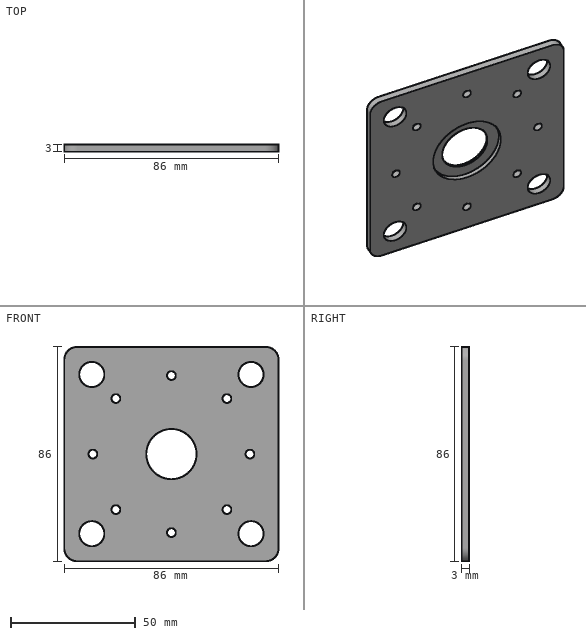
import cadquery as cq

side = 86.0
thickness = 3.0
corner_radius = 5.25

center_hole_diameter = 20.0
center_lip_thickness = 1.0
recess_diameter = 30.0
corner_hole_diameter = 10.0
corner_hole_spacing = 63.8
bolt_hole_diameter = 3.4
bolt_circle_radius = 31.5
bolt_count = 8


def make_plate():
    """Plate centred on the origin, with rounded corners."""
    plate = cq.Workplane("XY").box(side, thickness, side)
    return plate.edges("|Y").fillet(corner_radius)


def cut_center_hole(plate):
    """Central hole, recessed from the +Y face so that a thin lip remains at the -Y face."""
    face = plate.faces(">Y").workplane(origin=(0, 0, 0))
    recess_depth = thickness - center_lip_thickness
    return face.cboreHole(center_hole_diameter, recess_diameter, recess_depth)


def cut_corner_holes(plate):
    face = plate.faces("<Y").workplane(origin=(0, 0, 0))
    return face.rarray(corner_hole_spacing, corner_hole_spacing, 2, 2).hole(corner_hole_diameter)


def cut_bolt_circle(plate):
    """Small holes evenly spaced around the central hole."""
    face = plate.faces("<Y").workplane(origin=(0, 0, 0))
    return face.polarArray(bolt_circle_radius, 0, 360, bolt_count).hole(bolt_hole_diameter)


result = cut_bolt_circle(cut_corner_holes(cut_center_hole(make_plate())))